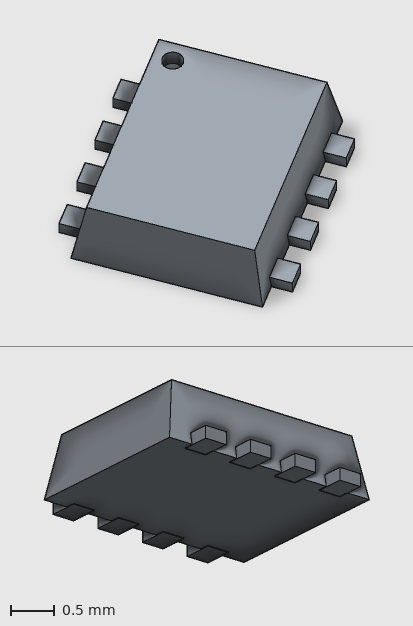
import cadquery as cq
import math

body_width = 2.3
body_length = 2.9
body_height = 0.8
draft_angle = 10.0

lead_span = 2.8
lead_length = 0.38
lead_width = 0.3
lead_thickness = 0.16
lead_pitch = 0.65
leads_per_side = 4
standoff = 0.01

dimple_diameter = 0.25
dimple_depth = 0.2
dimple_edge_distance = 0.25

body_top = standoff + body_height
draft_inset = body_height * math.tan(math.radians(draft_angle))


def make_body():
    return (
        cq.Workplane("XY")
        .workplane(offset=standoff)
        .rect(body_width, body_length)
        .extrude(body_height, taper=draft_angle)
    )


def make_leads():
    """Both rows of flat leads, resting on Z = 0."""
    row_distance = lead_span - lead_length
    return (
        cq.Workplane("XY")
        .rarray(row_distance, lead_pitch, 2, leads_per_side)
        .rect(lead_length, lead_width)
        .extrude(lead_thickness)
    )


def make_dimple():
    x = -(body_width / 2 - draft_inset - dimple_edge_distance)
    y = body_length / 2 - draft_inset - dimple_edge_distance
    return (
        cq.Workplane("XY")
        .workplane(offset=body_top - dimple_depth)
        .center(x, y)
        .circle(dimple_diameter / 2)
        .extrude(dimple_depth)
    )


result = make_body().union(make_leads()).cut(make_dimple())